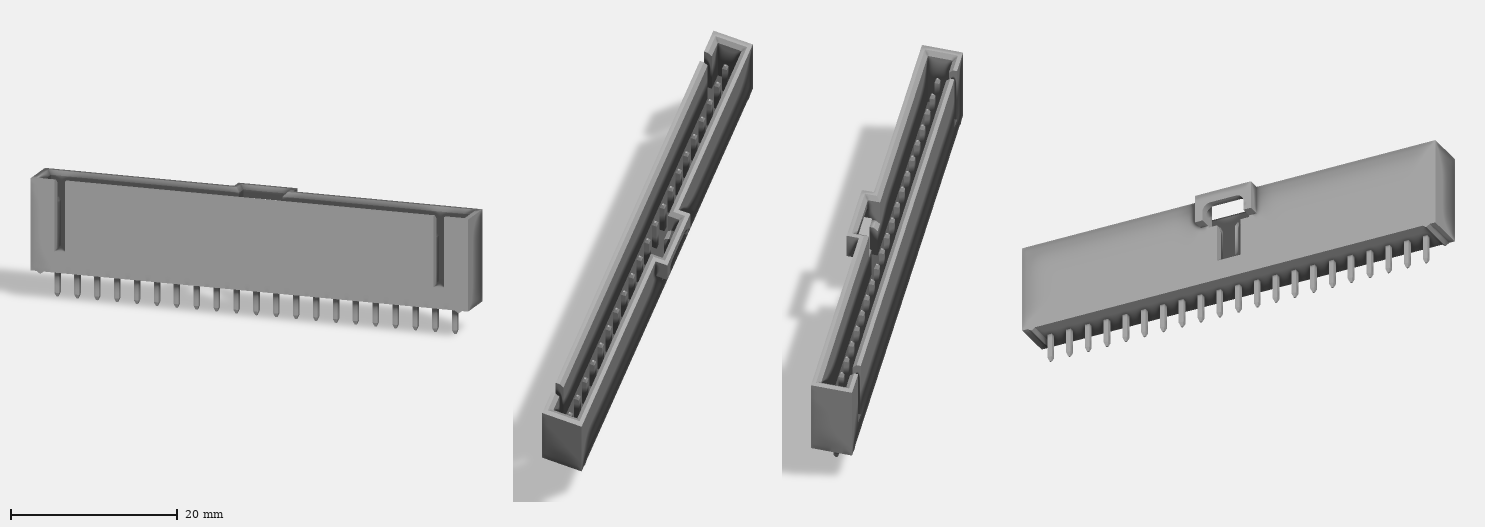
import cadquery as cq

length = 55.9
depth = 5.1
height = 11.45
wall = 1.0
end_wall = 1.1
lead_in = 0.5
floor_thickness = 2.6

slot_width = 1.35
slot_from_end = 3.1

bump_width = 7.55
bump_reach = 1.5
bump_height = 3.7
bump_rail_height = 1.45
bump_corner_radius = 1.0

window_width = 3.15
sill_drop = 0.2

rib_from_end = 1.25
rib_width = 0.95
rib_height = 0.35

pin_count = 21
pitch = length / (pin_count + 1)
pin_size = 0.6
pin_tail = 3.65
pin_reach = 6.15
tip_length = 0.5
tip_size = 0.2

cavity_length = length - 2 * end_wall
cavity_depth = depth - 2 * wall
bump_inner_width = bump_width - 2 * wall
bump_base = height - bump_height
sill_height = bump_base - sill_drop
back_face = depth / 2
front_face = -depth / 2


def block(x_size, y_min, y_max, z_min, z_max, x_centre=0.0):
    """Box centred on x_centre, given by its Y and Z limits."""
    return (
        cq.Workplane("XY")
        .box(x_size, y_max - y_min, z_max - z_min, centered=(True, False, False))
        .translate((x_centre, y_min, z_min))
    )


def flared_opening(x_size, y_min, y_max, z_top):
    """Cutter that widens an opening by the lead-in at its top edge."""
    return (
        cq.Workplane("XY", origin=(0, (y_min + y_max) / 2, z_top))
        .rect(x_size + 2 * lead_in, y_max - y_min + 2 * lead_in)
        .workplane(offset=-lead_in)
        .rect(x_size, y_max - y_min)
        .loft(ruled=True)
    )


def make_housing():
    """Shroud and bump, hollowed out with a chamfered mouth."""
    body = block(length, front_face, back_face, 0, height)
    bump = block(bump_width, back_face - wall, back_face + bump_reach, bump_base, height)
    cavity_front = -cavity_depth / 2
    cavity_back = cavity_depth / 2
    bump_inner_back = back_face + bump_reach - wall

    housing = body.union(bump)
    housing = housing.cut(block(cavity_length, cavity_front, cavity_back, floor_thickness, height))
    housing = housing.cut(block(bump_inner_width, cavity_front, bump_inner_back, sill_height, height))
    housing = housing.cut(flared_opening(cavity_length, cavity_front, cavity_back, height))
    housing = housing.cut(flared_opening(bump_inner_width, cavity_front, bump_inner_back, height))

    sill_lead_in = (
        cq.Workplane("YZ", origin=(-bump_inner_width / 2, 0, 0))
        .moveTo(cavity_back, sill_height)
        .lineTo(cavity_back + lead_in, sill_height)
        .lineTo(cavity_back, sill_height - lead_in)
        .close()
        .extrude(bump_inner_width)
    )
    return housing.cut(sill_lead_in)


def make_wall_openings():
    """Two slots in the front wall, the window in the back wall and the open back of the bump."""
    window = block(window_width, back_face - wall, back_face, floor_thickness, sill_height)
    bump_opening = block(
        bump_inner_width, back_face, back_face + bump_reach, bump_base, height - bump_rail_height
    )
    bump_opening = bump_opening.edges("|Y and >Z").fillet(bump_corner_radius)
    openings = window.union(bump_opening)
    slot_x = length / 2 - slot_from_end - slot_width / 2
    for x in (-slot_x, slot_x):
        slot = block(slot_width, front_face, front_face + wall, floor_thickness, height, x)
        openings = openings.union(slot)
    return openings


def make_rib(x):
    """V-shaped rib running across the full depth of the underside."""
    return (
        cq.Workplane("XZ", origin=(x, back_face, 0))
        .moveTo(-rib_width / 2, 0)
        .lineTo(0, -rib_height)
        .lineTo(rib_width / 2, 0)
        .close()
        .extrude(depth)
    )


def make_pin(x):
    """Square pin through the floor, tapered at both ends."""
    shank_bottom = tip_length - pin_tail
    shank_top = floor_thickness + pin_reach - tip_length
    half_pin = pin_size / 2
    pin = block(pin_size, -half_pin, half_pin, shank_bottom, shank_top, x)
    for z, direction in ((shank_bottom, -1), (shank_top, 1)):
        tip = (
            cq.Workplane("XY", origin=(x, 0, z))
            .rect(pin_size, pin_size)
            .workplane(offset=direction * tip_length)
            .rect(tip_size, tip_size)
            .loft(ruled=True)
        )
        pin = pin.union(tip)
    return pin


result = make_housing().cut(make_wall_openings())

rib_x = length / 2 - rib_from_end
for x in (-rib_x, rib_x):
    result = result.union(make_rib(x))

first_pin_x = -pitch * (pin_count - 1) / 2
for index in range(pin_count):
    result = result.union(make_pin(first_pin_x + index * pitch))